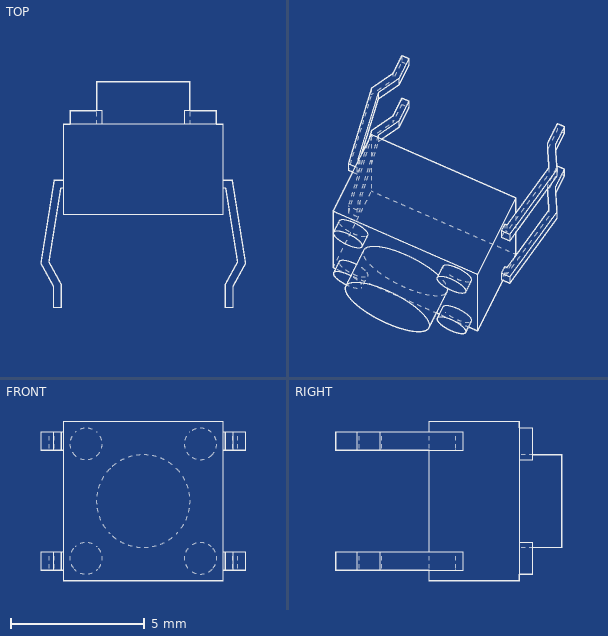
import cadquery as cq
import math

housing_side = 6.0
total_length = 8.5
button_height = 1.6
housing_depth = 3.4
button_face_y = total_length / 2 - button_height
housing_back_y = button_face_y - housing_depth

button_diameter = 3.5
stud_diameter = 1.2
stud_height = 0.5
stud_offset = 2.15

leg_thickness = 0.3
leg_width = 0.7
leg_spacing = 4.505
leg_tip_y = -total_length / 2
leg_top_y = button_face_y - 2.11
shoulder_x = 3.35
knee_x = 3.85
knee_height = 1.67
foot_x = 3.375
bend_height = 0.8


def unit_normal(start, end):
    """Unit vector to the right of the direction from start to end."""
    dx = end[0] - start[0]
    dy = end[1] - start[1]
    length = math.hypot(dx, dy)
    return dy / length, -dx / length


def mitred_corner(before, corner, after):
    """Inner corner of a strip of leg thickness, right of the outer path."""
    ax, ay = unit_normal(before, corner)
    bx, by = unit_normal(corner, after)
    reach = leg_thickness / (1 + ax * bx + ay * by)
    return corner[0] + reach * (ax + bx), corner[1] + reach * (ay + by)


def make_leg(z_middle):
    """One +X leg: out of the housing, down to the knee and back in to the foot."""
    root = (housing_side / 2, leg_top_y)
    shoulder = (shoulder_x, leg_top_y)
    knee = (knee_x, leg_tip_y + knee_height)
    bend = (foot_x, leg_tip_y + bend_height)
    tip = (foot_x, leg_tip_y)
    outer = [root, shoulder, knee, bend, tip]
    inner = [
        (root[0], root[1] - leg_thickness),
        mitred_corner(root, shoulder, knee),
        mitred_corner(shoulder, knee, bend),
        mitred_corner(knee, bend, tip),
        (tip[0] - leg_thickness, tip[1]),
    ]
    leg = cq.Workplane("XY").polyline(outer + inner[::-1]).close().extrude(leg_width / 2, both=True)
    return leg.translate((0, 0, z_middle))


def make_cylinder(diameter, height, x, z):
    """Cylinder standing on the button face."""
    base = cq.Vector(x, button_face_y, z)
    return cq.Workplane(cq.Solid.makeCylinder(diameter / 2, height, base, cq.Vector(0, 1, 0)))


def make_housing():
    """Block with its four studs and four legs, all one body."""
    housing = cq.Workplane("XY").box(housing_side, housing_depth, housing_side)
    housing = housing.translate((0, (button_face_y + housing_back_y) / 2, 0))
    for x_side in (-1, 1):
        for z_side in (-1, 1):
            stud = make_cylinder(stud_diameter, stud_height, x_side * stud_offset, z_side * stud_offset)
            housing = housing.union(stud)
    for z_side in (-1, 1):
        leg = make_leg(z_side * leg_spacing / 2)
        housing = housing.union(leg).union(leg.mirror("YZ"))
    return housing


def make_button():
    """Round push button standing on the middle of the button face."""
    return make_cylinder(button_diameter, button_height, 0, 0)


housing = make_housing()
button = make_button()
result = cq.Compound.makeCompound([housing.val(), button.val()])